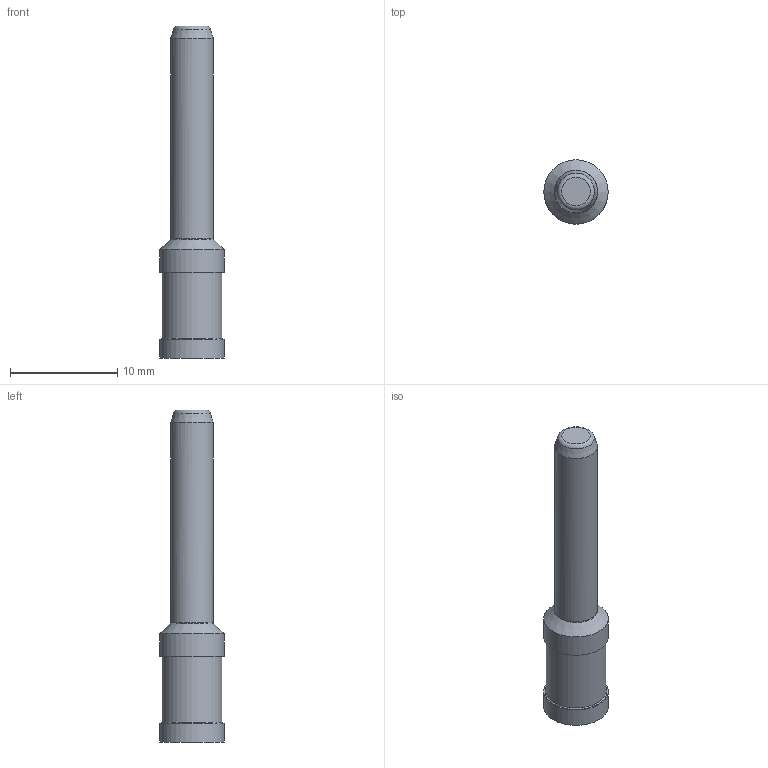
import cadquery as cq
import math

total_height = 31.0
collar_radius = 3.0
neck_radius = 2.8
stem_radius = 2.0

base_collar_height = 1.75
upper_collar_bottom = 8.0
upper_collar_height = 2.1
shoulder_height = collar_radius - stem_radius

root_fillet = 0.1

nose_length = 1.2
nose_taper_angle = 17.0
nose_rounding = 0.4

edge_tolerance = 0.01

upper_collar_top = upper_collar_bottom + upper_collar_height
stem_bottom = upper_collar_top + shoulder_height
nose_bottom = total_height - nose_length
nose_radius = stem_radius - nose_length * math.tan(math.radians(nose_taper_angle))


def make_sharp_pin():
    """Revolve the half outline, with sharp corners, around the Z axis."""
    outline = (
        cq.Workplane("XZ")
        .lineTo(collar_radius, 0)
        .lineTo(collar_radius, base_collar_height)
        .lineTo(neck_radius, base_collar_height)
        .lineTo(neck_radius, upper_collar_bottom)
        .lineTo(collar_radius, upper_collar_bottom)
        .lineTo(collar_radius, upper_collar_top)
        .lineTo(stem_radius, stem_bottom)
        .lineTo(stem_radius, nose_bottom)
        .lineTo(nose_radius, total_height)
        .lineTo(0, total_height)
        .close()
    )
    return outline.revolve(360, (0, 0), (0, 1))


def fillet_circle(pin, radius, height, fillet_radius):
    """Fillet the circular edge that lies at the given radius and height."""
    reach = radius + edge_tolerance
    lower_corner = (-reach, -reach, height - edge_tolerance)
    upper_corner = (reach, reach, height + edge_tolerance)
    box = cq.selectors.BoxSelector(lower_corner, upper_corner, boundingbox=True)
    return pin.edges("%CIRCLE").edges(box).fillet(fillet_radius)


pin = make_sharp_pin()
pin = fillet_circle(pin, neck_radius, base_collar_height, root_fillet)
pin = fillet_circle(pin, stem_radius, stem_bottom, root_fillet)
result = fillet_circle(pin, nose_radius, total_height, nose_rounding)